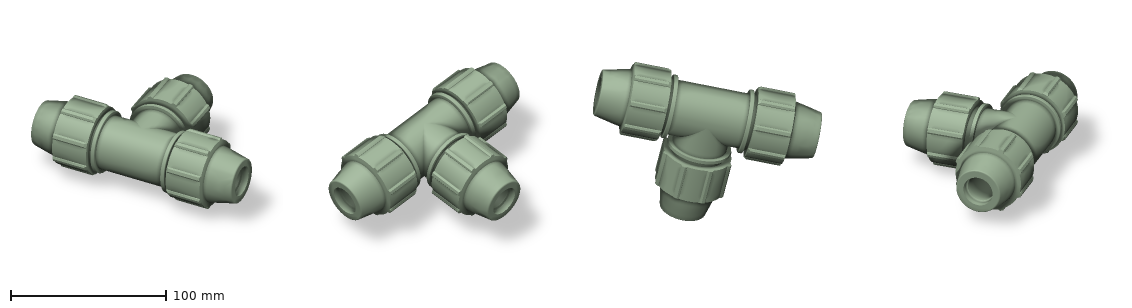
import cadquery as cq
import math

run_end = 72.5
branch_end = 73.0
body_radius = 18.0
bore_radius = 9.0
socket_radius = 10.0
socket_depth = 4.6
socket_seat_length = 0.8

nose_tip_radius = 15.0
nose_base_radius = 18.9
nose_base_depth = 18.2
nose_bulge = 0.1
tip_fillet = 0.9
grip_radius = 22.5
shoulder_depth = 19.2
nut_depth = 43.7

rib_count = 8
rib_top_radius = 24.0
rib_top_width = 2.12
rib_width = 4.0
rib_flank_radius = 22.9
rib_ramp_length = 1.7
run_ramp_drop = 1.0
branch_ramp_drop = 0.0

collar_radius = 41.76 / 2
run_collar_inner = 23.9
run_collar_outer = 26.6
collar_fillet = 0.4
branch_collar_inner = 23.1
branch_collar_outer = 25.4


def cylinder(radius, start, end):
    """Cylinder about Z between two heights."""
    return cq.Workplane("XY").workplane(offset=start).circle(radius).extrude(end - start)


def nut_nose(mouth):
    """Tapered nose of the nut about Z, with a rounded rim at the mouth."""
    base_height = mouth - nose_base_depth
    middle_radius = (nose_tip_radius + nose_base_radius) / 2 + nose_bulge
    profile = (
        cq.Workplane("XZ")
        .moveTo(0, mouth)
        .lineTo(nose_tip_radius, mouth)
        .threePointArc((middle_radius, (mouth + base_height) / 2), (nose_base_radius, base_height))
        .lineTo(0, base_height)
        .close()
    )
    nose = profile.revolve(360, (0, 0, 0), (0, 1, 0))
    return nose.faces(">Z").edges().fillet(tip_fillet)


def grip_envelope(mouth, ramp_drop):
    """Turned limit of the grip: the shoulder cone in front and a ramp over the rib backs."""
    outer_radius = math.hypot(rib_top_radius, rib_top_width / 2)
    shoulder_slope = (shoulder_depth - nose_base_depth) / (grip_radius - nose_base_radius)
    rib_front_depth = shoulder_depth + (outer_radius - grip_radius) * shoulder_slope
    back = mouth - nut_depth
    profile = (
        cq.Workplane("XZ")
        .moveTo(0, mouth - nose_base_depth)
        .lineTo(nose_base_radius, mouth - nose_base_depth)
        .lineTo(outer_radius, mouth - rib_front_depth)
        .lineTo(outer_radius, back + rib_ramp_length)
        .lineTo(outer_radius - ramp_drop, back)
        .lineTo(0, back)
        .close()
    )
    return profile.revolve(360, (0, 0, 0), (0, 1, 0))


def nut_grip(mouth, ramp_drop):
    """Ribbed barrel of the nut, with no rib on the two axes across it."""
    back = mouth - nut_depth
    front = mouth - nose_base_depth
    rib = (
        cq.Workplane("XY")
        .workplane(offset=back)
        .moveTo(body_radius, -rib_width / 2)
        .lineTo(rib_flank_radius, -rib_width / 2)
        .lineTo(rib_top_radius, -rib_top_width / 2)
        .lineTo(rib_top_radius, rib_top_width / 2)
        .lineTo(rib_flank_radius, rib_width / 2)
        .lineTo(body_radius, rib_width / 2)
        .close()
        .extrude(front - back)
    )
    grip = cylinder(grip_radius, back, front)
    pitch = 360 / rib_count
    for i in range(rib_count):
        grip = grip.union(rib.rotate((0, 0, 0), (0, 0, 1), (i + 0.5) * pitch))
    return grip.intersect(grip_envelope(mouth, ramp_drop))


def arm(mouth, collar, ramp_drop):
    """Solid arm along +Z from the tee centre: pipe, collar and ribbed nut."""
    pipe = cylinder(body_radius, 0, mouth - nut_depth).union(collar)
    return pipe.union(nut_grip(mouth, ramp_drop)).union(nut_nose(mouth))


def passage(mouth):
    """Bore along +Z that widens through a conical seat into the socket at the mouth."""
    seat_top = mouth - socket_depth
    profile = (
        cq.Workplane("XZ")
        .lineTo(bore_radius, 0)
        .lineTo(bore_radius, seat_top - socket_seat_length)
        .lineTo(socket_radius, seat_top)
        .lineTo(socket_radius, mouth)
        .lineTo(0, mouth)
        .close()
    )
    return profile.revolve(360, (0, 0, 0), (0, 1, 0))


def point_along_x(shape, direction):
    """Turn a shape from +Z to +X (direction 1) or -X (direction -1)."""
    return shape.rotate((0, 0, 0), (0, 1, 0), 90 * direction)


def point_along_y(shape):
    """Turn a shape from +Z to +Y."""
    return shape.rotate((0, 0, 0), (1, 0, 0), -90)


run_collar = cylinder(collar_radius, run_collar_inner, run_collar_outer)
run_collar = run_collar.edges().fillet(collar_fillet)
branch_collar = cylinder(collar_radius, branch_collar_inner, branch_collar_outer)

run_arm = arm(run_end, run_collar, run_ramp_drop)
branch_arm = point_along_y(arm(branch_end, branch_collar, branch_ramp_drop))
tee = point_along_x(run_arm, 1).union(point_along_x(run_arm, -1)).union(branch_arm)

for direction in (1, -1):
    tee = tee.cut(point_along_x(passage(run_end), direction))
tee = tee.cut(point_along_y(passage(branch_end)))

result = tee